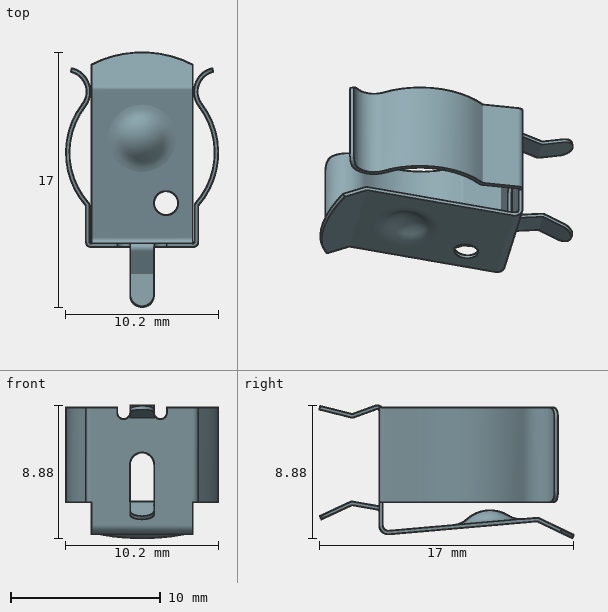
import cadquery as cq
import math

SHEET = 0.25
MID = SHEET / 2
CREASE = 0.02
BEND = 0.12
BEND_OUTER = BEND + SHEET

WALL_HALF = 3.39
CLIP_HEIGHT = 6.35

ARM_SPAN = 10.19
ARM_STRAIGHT_END = 2.78
BELLY_RADIUS = 5.35
LIP_RADIUS = 1.36
LIP_GAP_HALF = 3.46
LIP_END_ANGLE = 103.5
LIP_CORNER = 0.8

SPRING_BEND_TOP = -1.53
SPRING_BEND = 0.35
SPRING_RISE = 5.0
SPRING_LENGTH = 9.93
TONGUE_DROP = 25.6
TONGUE_LENGTH = 1.69
TONGUE_CROWN = 0.92

DOME_DISTANCE = 6.66
DOME_RADIUS = 2.27
DOME_CROWN_RADIUS = 2.28
DOME_FOOT_RADIUS = 1.38
HOLE_DISTANCE = 2.3
HOLE_X = 1.6
HOLE_RADIUS = 0.8

TAB_HALF = 0.8
UPPER_TAB_ROOT = 6.12
UPPER_TAB_DROP = 20.0
UPPER_TAB_INNER = 1.64
UPPER_TAB_RISE = 14.1
UPPER_TAB_OUTER = 1.41
LOWER_TAB_ROOT = -0.61
LOWER_TAB_RISE = 10.0
LOWER_TAB_INNER = 1.74
LOWER_TAB_DROP = 25.0
LOWER_TAB_OUTER = 1.45
SLOT_TOP = 3.32
NOTCH_WIDTH = 0.85
NOTCH_BOTTOM = 5.57


def go(length):
    """Straight stretch of a strip."""
    return ("go", length, 0)


def turn(angle, inner_radius):
    """Bent stretch of a strip; a positive angle turns left."""
    return ("turn", angle, inner_radius)


def advance(station, move, fraction=1.0):
    """Station (x, y, heading) reached on the middle of the sheet after part of a move."""
    x, y, heading = station
    kind, amount, inner_radius = move
    amount *= fraction
    direction = math.radians(heading)
    if kind == "go":
        return (x + amount * math.cos(direction), y + amount * math.sin(direction), heading)
    radius = math.copysign(inner_radius + MID, amount)
    end_direction = math.radians(heading + amount)
    x += radius * (math.sin(end_direction) - math.sin(direction))
    y += radius * (math.cos(direction) - math.cos(end_direction))
    return (x, y, heading + amount)


def face_point(station, side):
    """Point on the left (side = 1) or right (side = -1) face of the sheet."""
    x, y, heading = station
    direction = math.radians(heading)
    return (x - side * MID * math.sin(direction), y + side * MID * math.cos(direction))


def strip(plane, start, moves):
    """Edge-on outline of a bent strip, and the stations between its moves."""
    stations = [start]
    for move in moves:
        stations.append(advance(stations[-1], move))
    outline = cq.Workplane(plane).moveTo(*face_point(start, 1))

    def draw_edge(outline, index, target, side):
        end = face_point(stations[target], side)
        if moves[index][0] == "go":
            return outline.lineTo(*end)
        halfway = advance(stations[index], moves[index], 0.5)
        return outline.threePointArc(face_point(halfway, side), end)

    for index in range(len(moves)):
        outline = draw_edge(outline, index, index + 1, 1)
    outline = outline.lineTo(*face_point(stations[-1], -1))
    for index in reversed(range(len(moves))):
        outline = draw_edge(outline, index, index, -1)
    return outline.close(), stations


def sheet_plane(station):
    """Plane in the middle of a sheet bent in YZ: local x along X, local y along the strip."""
    y, z, heading = station
    direction = math.radians(heading)
    return cq.Plane((0, y, z), (1, 0, 0), (0, -math.sin(direction), math.cos(direction)))


def curved_tip(station, half_width, crown):
    """Arc-shaped end piece that continues a strip beyond a station."""
    return (
        cq.Workplane(sheet_plane(station))
        .moveTo(-half_width, 0)
        .threePointArc((0, crown), (half_width, 0))
        .close()
        .extrude(MID, both=True)
    )


def wall_and_spring():
    rise = 90 + SPRING_RISE
    outline, stations = strip("YZ", (MID, CLIP_HEIGHT, -90), [
        go(CLIP_HEIGHT - SPRING_BEND_TOP),
        turn(rise, SPRING_BEND),
        go(SPRING_LENGTH),
        turn(-SPRING_RISE - TONGUE_DROP, CREASE),
        go(TONGUE_LENGTH),
    ])
    body = outline.extrude(WALL_HALF, both=True)
    tip = curved_tip(stations[-1], WALL_HALF, TONGUE_CROWN)
    bend_end = stations[2]
    hole = (
        cq.Workplane(sheet_plane(bend_end))
        .center(HOLE_X, HOLE_DISTANCE)
        .circle(HOLE_RADIUS)
        .extrude(SHEET, both=True)
    )
    dome_station = advance(bend_end, go(DOME_DISTANCE))
    opening = cq.Workplane(sheet_plane(dome_station)).circle(DOME_RADIUS).extrude(SHEET, both=True)
    return body.union(tip).cut(hole).cut(opening).union(dome(dome_station))


def dome(station):
    """Hollow pressed dome, revolved about the normal of the spring."""
    base = sheet_plane(station)
    profile_plane = cq.Plane(base.origin, base.xDir, -base.yDir)
    slope = math.degrees(math.asin(DOME_RADIUS / (DOME_CROWN_RADIUS + DOME_FOOT_RADIUS)))
    outline, _ = strip(profile_plane, (DOME_RADIUS, 0, 180), [
        turn(-slope, DOME_FOOT_RADIUS),
        turn(slope, DOME_CROWN_RADIUS - SHEET),
    ])
    return outline.revolve(360, (0, 0), (0, 1))


def arm():
    """Arm on the +X side: straight, bowed outwards, then flared to a rounded lip."""
    straight_x = WALL_HALF + BEND_OUTER
    belly_x = ARM_SPAN / 2 - BELLY_RADIUS
    lip_x = LIP_GAP_HALF + SHEET + LIP_RADIUS
    kink = math.degrees(math.acos((straight_x - belly_x) / BELLY_RADIUS))
    junction = math.degrees(math.acos((lip_x - belly_x) / (BELLY_RADIUS + LIP_RADIUS)))
    lip_start_angle = 180 + junction
    outline, stations = strip("XY", (WALL_HALF, MID, 0), [
        turn(90, BEND),
        go(ARM_STRAIGHT_END - BEND_OUTER),
        turn(-kink, CREASE),
        turn(kink + junction, BELLY_RADIUS - SHEET),
        turn(LIP_END_ANGLE - lip_start_angle, LIP_RADIUS),
    ])
    end_x, end_y, _ = stations[-1]
    end_face = cq.selectors.NearestToPointSelector((end_x, end_y, CLIP_HEIGHT / 2))
    return outline.extrude(CLIP_HEIGHT).faces(end_face).edges("#Z").fillet(LIP_CORNER)


def tab(root, moves):
    """Tab bent out of the wall at height root, with a round end."""
    outline, stations = strip("YZ", (MID, root, 90), moves)
    tip = curved_tip(stations[-1], TAB_HALF, TAB_HALF)
    return outline.extrude(TAB_HALF, both=True).union(tip)


def round_ended_cut(x, half_width, round_z, flat_z):
    """Cutter through the wall, straight from flat_z to a half circle centred at round_z."""
    length = abs(flat_z - round_z)
    straight = cq.Workplane("XY").box(2 * half_width, 4 * SHEET, length)
    straight = straight.translate((x, 0, (round_z + flat_z) / 2))
    end = cq.Workplane("XZ", origin=(x, 0, round_z)).circle(half_width).extrude(2 * SHEET, both=True)
    return straight.union(end)


result = wall_and_spring()

result = result.cut(round_ended_cut(0, TAB_HALF, SLOT_TOP - TAB_HALF, LOWER_TAB_ROOT))
notch_half = NOTCH_WIDTH / 2
for side in (-1, 1):
    notch_x = side * (TAB_HALF + notch_half)
    result = result.cut(round_ended_cut(notch_x, notch_half, NOTCH_BOTTOM + notch_half, CLIP_HEIGHT))
tab_relief = cq.Workplane("XY").box(2 * TAB_HALF, 4 * SHEET, CLIP_HEIGHT, centered=(True, True, False))
result = result.cut(tab_relief.translate((0, 0, UPPER_TAB_ROOT)))

result = result.union(tab(UPPER_TAB_ROOT, [
    turn(90 + UPPER_TAB_DROP, BEND),
    go(UPPER_TAB_INNER),
    turn(-UPPER_TAB_DROP - UPPER_TAB_RISE, CREASE),
    go(UPPER_TAB_OUTER),
]))
result = result.union(tab(LOWER_TAB_ROOT, [
    turn(90 - LOWER_TAB_RISE, BEND),
    go(LOWER_TAB_INNER),
    turn(LOWER_TAB_RISE + LOWER_TAB_DROP, CREASE),
    go(LOWER_TAB_OUTER),
]))

right_arm = arm()
result = result.union(right_arm).union(right_arm.mirror("YZ"))